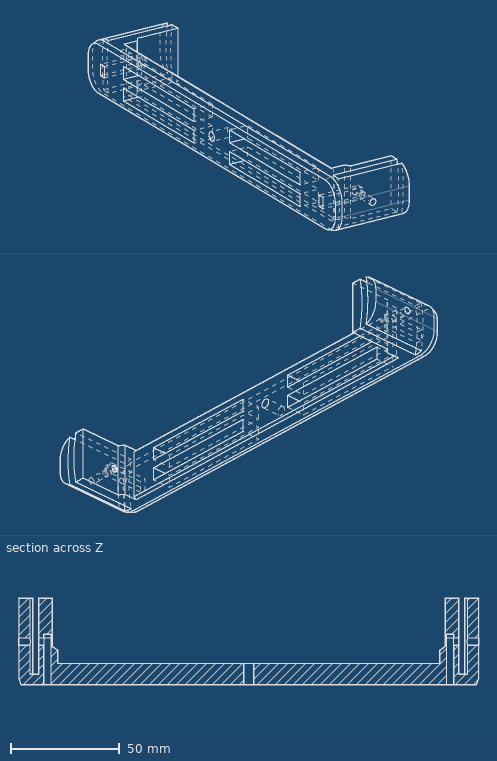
import cadquery as cq
import math

LENGTH = 212.0
DEPTH = 40.0
HEIGHT = 26.4
END_RADIUS = 9.7

BEVEL_DEPTH = 3.0
BEVEL_INSET = 1.0

BAR_DEPTH = 10.0
BAR_CHAMFER = 1.2

ARM_THICKNESS = 15.5
STEP_WIDTH = 2.5
STEP_START = 16.0
STEP_END = 17.8

SLOT_OUTER_WALL = 6.6
SLOT_WIDTH = 3.9
SLOT_FLOOR = 5.0
SLOT_BOW = 1.3

WINDOW_LENGTH = 60.0
WINDOW_HEIGHT = 6.4
WINDOW_X = 45.0
WINDOW_Z = 5.4

CENTRE_HOLE_DIAMETER = 4.5
SCREW_HOLE_DIAMETER = 3.2
SCREW_Y = 20.0

NUT_ACROSS_FLATS = 5.7
NUT_THICKNESS = 3.2
NUT_X = 92.8

END_X = LENGTH / 2
TOP_Z = HEIGHT / 2
ARM_INNER_X = END_X - ARM_THICKNESS
STEP_INNER_X = ARM_INNER_X - STEP_WIDTH
SLOT_OUTER_X = END_X - SLOT_OUTER_WALL
SLOT_INNER_X = SLOT_OUTER_X - SLOT_WIDTH


def rounded_block():
    """Full-size block with rounded ends and a bevelled front face."""
    block = cq.Workplane("XY").box(LENGTH, DEPTH, HEIGHT, centered=(True, False, True))
    block = block.edges("|Y").fillet(END_RADIUS)
    front_edges = block.faces("<Y").edges().vals()
    return cq.Workplane(obj=block.val().chamfer(BEVEL_INSET, BEVEL_DEPTH, front_edges))


def space_between_arms():
    """Opening behind the bar, narrower beside the stepped arm roots."""
    return (
        cq.Workplane("XY")
        .moveTo(-STEP_INNER_X, BAR_DEPTH)
        .lineTo(STEP_INNER_X, BAR_DEPTH)
        .lineTo(STEP_INNER_X, STEP_START)
        .lineTo(ARM_INNER_X, STEP_END)
        .lineTo(ARM_INNER_X, DEPTH)
        .lineTo(-ARM_INNER_X, DEPTH)
        .lineTo(-ARM_INNER_X, STEP_END)
        .lineTo(-STEP_INNER_X, STEP_START)
        .close()
        .extrude(TOP_Z, both=True)
    )


def bar_chamfer():
    """Wedge that chamfers the upper rear edge of the bar between the arms."""
    return (
        cq.Workplane("YZ")
        .moveTo(BAR_DEPTH, TOP_Z)
        .lineTo(BAR_DEPTH - BAR_CHAMFER, TOP_Z)
        .lineTo(BAR_DEPTH, TOP_Z - BAR_CHAMFER)
        .close()
        .extrude(STEP_INNER_X, both=True)
    )


def panel_slot():
    """Slot of constant width in the +X arm, bowed outwards at mid height."""
    return (
        cq.Workplane("XZ", origin=(0, SLOT_FLOOR, 0))
        .moveTo(SLOT_INNER_X, -TOP_Z)
        .threePointArc((SLOT_INNER_X + SLOT_BOW, 0), (SLOT_INNER_X, TOP_Z))
        .lineTo(SLOT_OUTER_X, TOP_Z)
        .threePointArc((SLOT_OUTER_X + SLOT_BOW, 0), (SLOT_OUTER_X, -TOP_Z))
        .close()
        .extrude(SLOT_FLOOR - DEPTH)
    )


def nut_pocket():
    """Channel from the front face of the +X arm to a nut seat, one nut corner pointing back."""
    nut_across_corners = 2 * NUT_ACROSS_FLATS / math.sqrt(3)
    seat = (
        cq.Workplane("YZ", origin=(NUT_X, SCREW_Y, 0))
        .polygon(6, nut_across_corners)
        .extrude(NUT_THICKNESS / 2, both=True)
    )
    channel = (
        cq.Workplane("XY", origin=(NUT_X, 0, 0))
        .box(NUT_THICKNESS, SCREW_Y, NUT_ACROSS_FLATS, centered=(True, False, True))
    )
    return seat.union(channel)


def bar_windows():
    """Four rectangular openings through the bar."""
    return (
        cq.Workplane("XZ")
        .rarray(2 * WINDOW_X, 2 * WINDOW_Z, 2, 2)
        .rect(WINDOW_LENGTH, WINDOW_HEIGHT)
        .extrude(-BAR_DEPTH)
    )


def centre_hole():
    """Round hole through the middle of the bar."""
    return cq.Workplane("XZ").circle(CENTRE_HOLE_DIAMETER / 2).extrude(-BAR_DEPTH)


def screw_hole():
    """Screw hole along X through both arms."""
    return (
        cq.Workplane("YZ", origin=(0, SCREW_Y, 0))
        .circle(SCREW_HOLE_DIAMETER / 2)
        .extrude(END_X, both=True)
    )


result = rounded_block().cut(space_between_arms())
result = result.cut(bar_chamfer()).cut(bar_chamfer().mirror("XY"))

for arm_cut in (panel_slot(), nut_pocket()):
    result = result.cut(arm_cut).cut(arm_cut.mirror("YZ"))

result = result.cut(bar_windows()).cut(centre_hole()).cut(screw_hole())